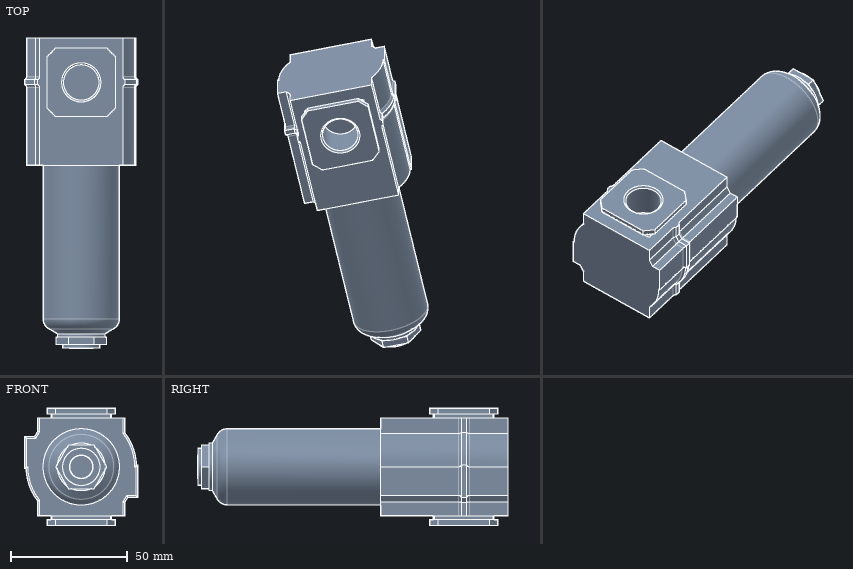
import cadquery as cq
import math


housing_length = 54.5
housing_half_height = 21.0
neck_half_width = 17.8
flank_half_width = 23.4
flank_arc_radius = 22.9
ledge_height = 12.2
bevel_width = 1.7
bevel_height = 2.8

rib_y = housing_length - 18.9
rib_height = 0.8
rib_base_width = 4.8
rib_top_width = 2.1
flare_sections = 5

port_y = housing_length - 19.0
pad_size = 29.2
pad_corner = 3.6
pad_top = 25.1
pad_thickness = 2.5
pad_neck_size = 26.0
pad_neck_corner = 0.5
port_radius = 7.6
port_chamfer = 0.8
port_depth = 16.0

bowl_radius = 16.4
bowl_straight_length = 65.7
bowl_shoulder_radius = 4.9
bowl_cone_angle = 60.0
bowl_neck_radius = 10.2
bowl_length = 73.5

hex_across_flats = 18.9
hex_length = 3.2
boss_radius = 8.0
boss_length = 1.5
button_radius = 5.0
button_length = 0.3
button_chamfer = 0.1


def section_wire(y, growth):
    """Housing section at y, with both sides moved outward by growth.

    The flat flank ends just past mid-height in a small step down to the flank arc.
    """
    turn = math.atan2(bevel_width, bevel_height)
    x_narrow = neck_half_width + growth
    x_flank = flank_half_width + growth
    radius = flank_arc_radius + growth
    x_ledge = neck_half_width + bevel_width + growth * math.tan((math.pi / 2 - turn) / 2)
    z_ledge = ledge_height + growth
    z_bevel = ledge_height + bevel_height + growth * math.tan(turn / 2)
    arc_end_angle = math.acos(x_narrow / radius)
    start_angle = math.asin(growth / radius)
    middle_angle = (start_angle + arc_end_angle) / 2

    def half(side):
        """Edges from the bottom of one side, over its top, to the top of the other side."""

        def place(x, z):
            return cq.Vector(side * x, y, side * z)

        def place_on_arc(angle):
            return place(radius * math.cos(angle), radius * math.sin(angle))

        arc_start = place_on_arc(start_angle)
        arc_middle = place_on_arc(middle_angle)
        arc_end = place_on_arc(arc_end_angle)
        lower_points = [
            place(x_narrow, -housing_half_height),
            place(x_narrow, -z_bevel),
            place(x_ledge, -z_ledge),
            place(x_flank, -z_ledge),
            place(x_flank, growth),
            arc_start,
        ]
        upper_points = [
            arc_end,
            place(x_narrow, housing_half_height),
            place(-x_narrow, housing_half_height),
        ]
        lower = [cq.Edge.makeLine(a, b) for a, b in zip(lower_points, lower_points[1:])]
        arc = cq.Edge.makeThreePointArc(arc_start, arc_middle, arc_end)
        upper = [cq.Edge.makeLine(a, b) for a, b in zip(upper_points, upper_points[1:])]
        return lower + [arc] + upper

    return cq.Wire.assembleEdges(half(1) + half(-1))


def straight_block(y_start, y_end, growth):
    wires = [section_wire(y_start, growth), section_wire(y_end, growth)]
    return cq.Workplane(cq.Solid.makeLoft(wires, True))


def make_rib_flare(direction):
    """Hollow flank of the rib: an arc that leaves the housing tangentially and ends at the rib top."""
    flare_width = (rib_base_width - rib_top_width) / 2
    arc_radius = (rib_height**2 + flare_width**2) / (2 * rib_height)
    wires = []
    for i in range(flare_sections):
        run = flare_width * i / (flare_sections - 1)
        growth = arc_radius - math.sqrt(arc_radius**2 - run**2)
        y = rib_y + direction * (rib_base_width / 2 - run)
        wires.append(section_wire(y, growth))
    return cq.Workplane(cq.Solid.makeLoft(wires))


def make_housing_block():
    half_base = rib_base_width / 2
    half_top = rib_top_width / 2
    block = straight_block(0, rib_y - half_base, 0)
    block = block.union(make_rib_flare(-1))
    block = block.union(straight_block(rib_y - half_top, rib_y + half_top, rib_height))
    block = block.union(make_rib_flare(1))
    return block.union(straight_block(rib_y + half_base, housing_length, 0))


def square_pad(size, corner, z_bottom, z_top):
    return (
        cq.Workplane("XY", origin=(0, port_y, z_bottom))
        .rect(size, size)
        .extrude(z_top - z_bottom)
        .edges("|Z")
        .chamfer(corner)
    )


def make_port_pad():
    pad_bottom = pad_top - pad_thickness
    pad = square_pad(pad_size, pad_corner, pad_bottom, pad_top)
    return pad.union(square_pad(pad_neck_size, pad_neck_corner, housing_half_height, pad_bottom))


def make_port_bore():
    mouth_radius = port_radius + port_chamfer
    return (
        cq.Workplane("XZ", origin=(0, port_y, 0))
        .moveTo(0, pad_top)
        .lineTo(mouth_radius, pad_top)
        .lineTo(port_radius, pad_top - port_chamfer)
        .lineTo(port_radius, pad_top - port_depth)
        .lineTo(0, pad_top - port_depth)
        .close()
        .revolve(360, (0, 0, 0), (0, 1, 0))
    )


def make_housing():
    housing = make_housing_block()
    pad = make_port_pad()
    bore = make_port_bore()
    for turn in (0, 180):
        housing = housing.union(pad.rotate((0, 0, 0), (0, 1, 0), turn))
        housing = housing.cut(bore.rotate((0, 0, 0), (0, 1, 0), turn))
    return housing


def make_bowl():
    cone_angle = math.radians(bowl_cone_angle)

    def shoulder_point(angle):
        radius = bowl_radius - bowl_shoulder_radius * (1 - math.cos(angle))
        return (-bowl_straight_length - bowl_shoulder_radius * math.sin(angle), radius)

    cone_start_y, cone_start_radius = shoulder_point(cone_angle)
    cone_end_y = cone_start_y - (cone_start_radius - bowl_neck_radius) / math.tan(cone_angle)
    return (
        cq.Workplane("YZ")
        .lineTo(0, bowl_radius)
        .lineTo(-bowl_straight_length, bowl_radius)
        .threePointArc(shoulder_point(cone_angle / 2), (cone_start_y, cone_start_radius))
        .lineTo(cone_end_y, bowl_neck_radius)
        .lineTo(-bowl_length, bowl_neck_radius)
        .lineTo(-bowl_length, 0)
        .close()
        .revolve(360, (0, 0, 0), (1, 0, 0))
    )


def make_drain():
    corner_diameter = hex_across_flats / math.cos(math.pi / 6)
    return (
        cq.Workplane("XZ", origin=(0, -bowl_length, 0))
        .polygon(6, corner_diameter)
        .extrude(hex_length)
        .faces("<Y")
        .workplane()
        .circle(boss_radius)
        .extrude(boss_length)
        .faces("<Y")
        .workplane()
        .circle(button_radius)
        .extrude(button_length)
        .faces("<Y")
        .chamfer(button_chamfer)
    )


housing = make_housing()
bowl = make_bowl()
drain = make_drain()

result = cq.Compound.makeCompound([housing.solids().val(), bowl.val(), drain.solids().val()])